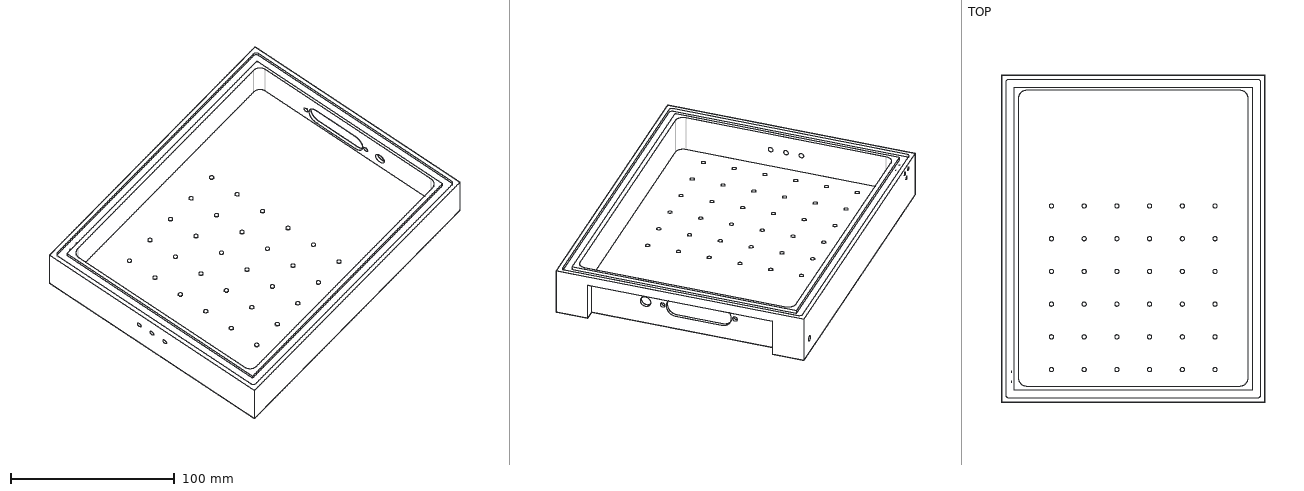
import cadquery as cq
import math

width = 161.0
length = 200.0
height = 30.0
side_wall = 10.5
front_wall = 9.8
back_wall = 9.2
floor_thickness = 7.0
cavity_corner_radius = 5.0

groove_outer_inset = 2.5
groove_inner_inset = 7.5
groove_depth = 2.0
groove_corner_radius = 2.0

drill_point_angle = 118.0

grid_count = 6
grid_pitch = 20.0
grid_center_y = -30.0
grid_hole_diameter = 2.5
grid_hole_depth = 4.0

front_hole_count = 3
front_hole_pitch = 10.0
front_hole_z = 18.8
front_hole_diameter = 3.0

left_hole_depth = 6.0
back_hole_inset = 10.0
back_hole_z = 10.0
back_hole_diameter = 3.5
trio_inset = 15.5
trio_spacing = 6.0
trio_upper_z = 26.5
trio_drop = 4.8
trio_hole_diameter = 2.2

connector_x = -9.5
connector_z = 15.5
connector_width = 42.0
connector_height = 12.8
connector_corner_radius = 6.0
screw_spacing = 47.0
screw_hole_diameter = 3.0
cable_hole_x = 25.0
cable_hole_diameter = 6.8

panel_thickness = 2.0
recess_width = 120.0
recess_height = 24.0

left_x = -width / 2
front_y = -length / 2
back_y = length / 2
cavity_back_y = back_y - back_wall


def inset_block(side_inset, front_inset, back_inset, z_bottom):
    """Block inset from the tray sides, running from z_bottom up to the rim."""
    center_y = (front_inset - back_inset) / 2
    return (
        cq.Workplane("XY", origin=(0, center_y, z_bottom))
        .rect(width - 2 * side_inset, length - front_inset - back_inset)
        .extrude(height - z_bottom)
    )


def uniform_block(inset, z_bottom):
    """Block with the same inset on all four sides."""
    return inset_block(inset, inset, inset, z_bottom)


def drilled_hole(start, direction, diameter, depth):
    """Blind hole of full diameter to the given depth, then a drill point."""
    radius = diameter / 2
    start = cq.Vector(*start)
    direction = cq.Vector(*direction)
    point_length = radius / math.tan(math.radians(drill_point_angle / 2))
    shank = cq.Solid.makeCylinder(radius, depth, start, direction)
    point = cq.Solid.makeCone(radius, 0, point_length, start + direction * depth, direction)
    return shank.fuse(point)


def hole_along_y(x, z, diameter, start_y, depth):
    """Round hole running in the +Y direction from start_y."""
    return cq.Workplane("XZ", origin=(x, start_y, z)).circle(diameter / 2).extrude(-depth)


cavity = (
    inset_block(side_wall, front_wall, back_wall, floor_thickness)
    .edges("|Z")
    .fillet(cavity_corner_radius)
)
groove_z = height - groove_depth
groove = (
    uniform_block(groove_outer_inset, groove_z)
    .edges("|Z")
    .fillet(groove_corner_radius)
    .cut(uniform_block(groove_inner_inset, groove_z))
)
tray = uniform_block(0, 0).cut(cavity).cut(groove)

grid_offsets = [(i - (grid_count - 1) / 2) * grid_pitch for i in range(grid_count)]
for x in grid_offsets:
    for y in grid_offsets:
        start = (x, grid_center_y + y, floor_thickness)
        tray = tray.cut(drilled_hole(start, (0, 0, -1), grid_hole_diameter, grid_hole_depth))

for i in range(front_hole_count):
    x = (i - (front_hole_count - 1) / 2) * front_hole_pitch
    tray = tray.cut(hole_along_y(x, front_hole_z, front_hole_diameter, front_y, front_wall))

trio_y = front_y + trio_inset
trio_lower_z = trio_upper_z - trio_drop
left_holes = [
    (back_y - back_hole_inset, back_hole_z, back_hole_diameter),
    (trio_y - trio_spacing / 2, trio_upper_z, trio_hole_diameter),
    (trio_y + trio_spacing / 2, trio_upper_z, trio_hole_diameter),
    (trio_y, trio_lower_z, trio_hole_diameter),
]
for y, z, diameter in left_holes:
    tray = tray.cut(drilled_hole((left_x, y, z), (1, 0, 0), diameter, left_hole_depth))

connector = (
    cq.Workplane("XZ", origin=(connector_x, cavity_back_y, connector_z))
    .rect(connector_width, connector_height)
    .extrude(-back_wall)
    .edges("|Y")
    .fillet(connector_corner_radius)
)
tray = tray.cut(connector)
back_holes = [
    (connector_x - screw_spacing / 2, screw_hole_diameter),
    (connector_x + screw_spacing / 2, screw_hole_diameter),
    (cable_hole_x, cable_hole_diameter),
]
for x, diameter in back_holes:
    tray = tray.cut(hole_along_y(x, connector_z, diameter, cavity_back_y, back_wall))

recess = (
    cq.Workplane("XZ", origin=(0, cavity_back_y + panel_thickness, recess_height / 2))
    .rect(recess_width, recess_height)
    .extrude(panel_thickness - back_wall)
)
tray = tray.cut(recess)

result = tray